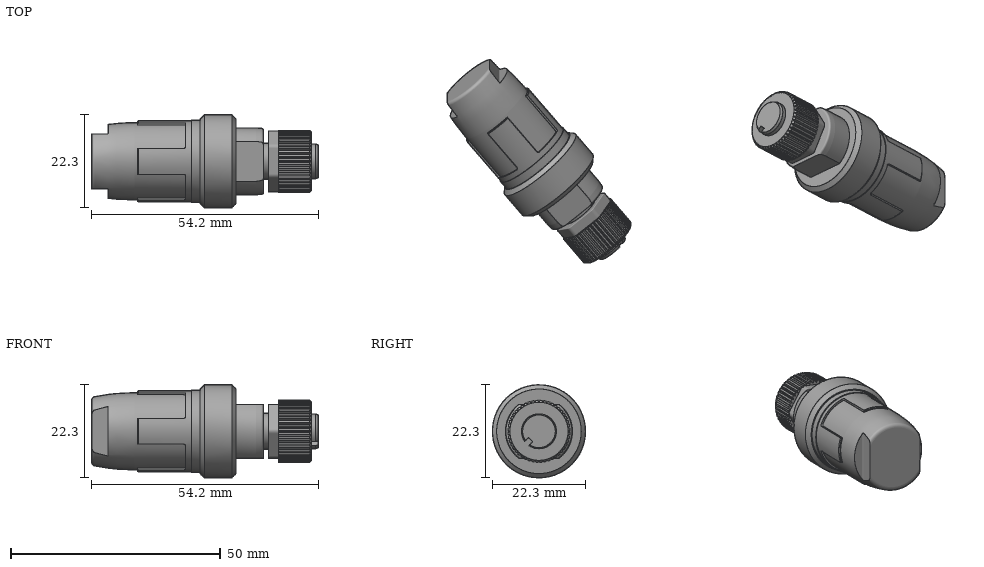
import cadquery as cq
import math


nose_face_radius = 7.35
nose_edge_radius = 8.3
nose_edge_end = 0.7
nose_edge_arc_radius = 1.0
nose_dome_end = 10.3
shell_radius = 9.25
rib_start = 10.95
rib_radius = 9.7
rib_half_width = 3.1
rib_end_chamfer = 0.2
panel_end = 22.45
panel_corner_radius = 0.45
band_start = 23.85
band_radius = 9.85

nose_flat_half_width = 6.55
nose_flat_length = 3.95
nose_flat_root_radius = 0.2

collar_start = 25.9
collar_end = 34.5
collar_diameter = 22.3
collar_chamfer = 1.05

gland_radius = 8.0
gland_taper_start = 39.4
gland_end = 41.1
gland_tip_radius = 7.85
gland_tip_fillet = 0.5
gland_flat_half_height = 6.45

neck_radius = 4.35
hex_start = 42.2
hex_half_height = 6.45
hex_turn = 30
hex_corner_radius = 1.1
hex_rim_fillet = 0.15
nut_start = 44.65
nut_end = 52.6
nut_radius = 7.4
nut_chamfer = 0.5
knurl_count = 48
knurl_width = 0.5
knurl_depth = 0.5
tip_radius = 4.2
tip_end = 54.2
tip_chamfer_length = 0.65
tip_chamfer_depth = 0.25
keyway_width = 1.4
keyway_depth = 1.35
keyway_angle = 225


def disc(start, end, radius):
    """Solid cylinder about the X axis."""
    return cq.Workplane("YZ", origin=(start, 0, 0)).circle(radius).extrude(end - start)


def make_shell():
    """Turned rear shell, from the nose face to the collar."""
    run = nose_dome_end - nose_edge_end
    rise = shell_radius - nose_edge_radius
    dome_arc_radius = (run**2 + rise**2) / (2 * rise)
    return (
        cq.Workplane("XY")
        .moveTo(0, 0)
        .lineTo(0, nose_face_radius)
        .radiusArc((nose_edge_end, nose_edge_radius), nose_edge_arc_radius)
        .radiusArc((nose_dome_end, shell_radius), dome_arc_radius)
        .lineTo(rib_start, shell_radius)
        .lineTo(rib_start, rib_radius - rib_end_chamfer)
        .lineTo(rib_start + rib_end_chamfer, rib_radius)
        .lineTo(band_start, rib_radius)
        .lineTo(band_start, band_radius)
        .lineTo(collar_start, band_radius)
        .lineTo(collar_start, 0)
        .close()
        .revolve(360, (0, 0, 0), (1, 0, 0))
    )


def cut_panels(shell):
    """Four shallow panels, open towards the nose, that leave four ribs between them."""
    size = rib_radius
    corner = (rib_start, rib_half_width, rib_half_width)
    block = (
        cq.Workplane("XY")
        .box(panel_end - rib_start, size, size, centered=False)
        .translate(corner)
        .edges(">X and (<Y or <Z)")
        .fillet(panel_corner_radius)
    )
    panel = block.cut(disc(rib_start, panel_end, shell_radius))
    for quarter in range(4):
        shell = shell.cut(panel.rotate((0, 0, 0), (1, 0, 0), 90 * quarter))
    return shell


def cut_nose_flats(shell):
    """Two parallel wrench flats facing -Y and +Y, rounded at the inner corner."""
    depth = shell_radius
    for side in (-1, 1):
        cutter = (
            cq.Workplane("XY")
            .box(2 * nose_flat_length, depth, 2 * shell_radius)
            .translate((0, nose_flat_half_width + depth / 2, 0))
            .edges(">X and <Y")
            .fillet(nose_flat_root_radius)
        )
        if side < 0:
            cutter = cutter.mirror("XZ")
        shell = shell.cut(cutter)
    return shell


def make_collar():
    return disc(collar_start, collar_end, collar_diameter / 2).faces("<X or >X").chamfer(collar_chamfer)


def make_gland():
    """Turned body with a slight end taper, a rounded rim and flats above and below."""
    body = (
        cq.Workplane("XY")
        .moveTo(collar_end, 0)
        .lineTo(collar_end, gland_radius)
        .lineTo(gland_taper_start, gland_radius)
        .lineTo(gland_end, gland_tip_radius)
        .lineTo(gland_end, 0)
        .close()
        .revolve(360, (0, 0, 0), (1, 0, 0))
        .faces(">X")
        .edges()
        .fillet(gland_tip_fillet)
    )
    length = gland_end - collar_end
    slab = (
        cq.Workplane("XY")
        .box(length, 2 * gland_radius, 2 * gland_flat_half_height)
        .translate((collar_end + length / 2, 0, 0))
    )
    return body.intersect(slab)


def make_hex():
    """Hexagon with flats above and below, rounded corners and a rounded rear rim."""
    return (
        cq.Workplane("YZ", origin=(hex_start, 0, 0))
        .polygon(6, 2 * hex_half_height, circumscribed=True)
        .extrude(nut_start - hex_start)
        .rotate((0, 0, 0), (1, 0, 0), hex_turn)
        .edges("|X")
        .fillet(hex_corner_radius)
        .faces("<X")
        .edges()
        .fillet(hex_rim_fillet)
    )


def make_nut():
    """Nut with V-shaped knurl grooves running its full length."""
    groove_radius = nut_radius - knurl_depth
    pitch = 2 * math.pi / knurl_count
    half_groove = knurl_width / nut_radius / 2
    outline = []
    for index in range(knurl_count):
        center = index * pitch
        for radius, angle in (
            (nut_radius, center - half_groove),
            (groove_radius, center),
            (nut_radius, center + half_groove),
        ):
            outline.append((radius * math.cos(angle), radius * math.sin(angle)))
    knurled = (
        cq.Workplane("YZ", origin=(nut_start, 0, 0))
        .polyline(outline)
        .close()
        .extrude(nut_end - nut_start)
    )
    envelope = disc(nut_start, nut_end, nut_radius).faces(">X").chamfer(nut_chamfer)
    return knurled.intersect(envelope)


def make_tip():
    """Plug tip with a chamfered end and one radial keyway."""
    chamfer_start = tip_end - tip_chamfer_length
    tip = (
        cq.Workplane("XY")
        .moveTo(nut_end, 0)
        .lineTo(nut_end, tip_radius)
        .lineTo(chamfer_start, tip_radius)
        .lineTo(tip_end, tip_radius - tip_chamfer_depth)
        .lineTo(tip_end, 0)
        .close()
        .revolve(360, (0, 0, 0), (1, 0, 0))
    )
    length = tip_end - nut_end
    keyway = (
        cq.Workplane("XY")
        .box(length, 2 * keyway_depth, keyway_width)
        .translate((nut_end + length / 2, tip_radius, 0))
        .rotate((0, 0, 0), (1, 0, 0), keyway_angle)
    )
    return tip.cut(keyway)


shell = cut_nose_flats(cut_panels(make_shell()))
neck = disc(gland_end, hex_start, neck_radius)

result = shell
for section in (make_collar(), make_gland(), neck, make_hex(), make_nut(), make_tip()):
    result = result.union(section)